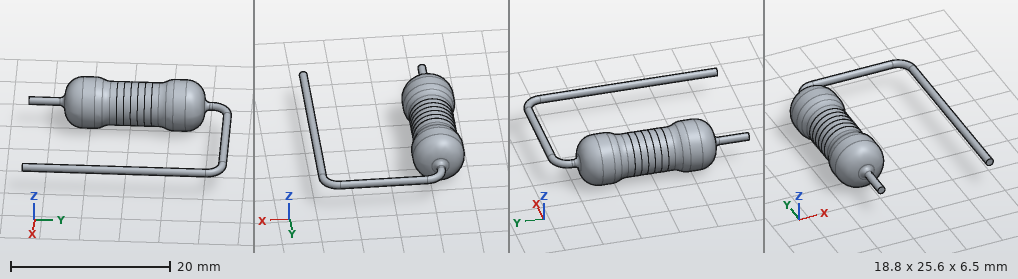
import cadquery as cq
import math

wire_radius = 1.0 / 2
lead_pitch = 15.0
overall_length = 25.6
bend_radius = 2.0
wire_top = overall_length - wire_radius

body_centre = 13.35
cap_radius = 6.5 / 2
waist_radius = 5.53 / 2
band_radius = 5.55 / 2
dome_radius = 2.3
dome_start = 6.5
cap_start = 4.95
waist_half_length = 3.07
neck_fillet = 0.65

band_count = 3
section_count = 2 * band_count + 1
section_width = 2 * waist_half_length / section_count


def half_body():
    """One end of the body, from its middle to the neck on the wire, along +Y."""
    rise = (cap_radius - waist_radius) / 2
    run = (cap_start - waist_half_length) / 2
    shoulder_radius = (rise**2 + run**2) / (2 * rise)
    shoulder_middle = (waist_radius + rise, waist_half_length + run)

    dome_centre_x = cap_radius - dome_radius
    fillet_centre_x = wire_radius + neck_fillet
    centre_offset = fillet_centre_x - dome_centre_x
    centre_distance = dome_radius + neck_fillet
    neck_end = dome_start + math.sqrt(centre_distance**2 - centre_offset**2)
    dome_share = dome_radius / centre_distance
    dome_end = (
        dome_centre_x + centre_offset * dome_share,
        dome_start + (neck_end - dome_start) * dome_share,
    )

    profile = (
        cq.Workplane("XY")
        .lineTo(waist_radius, 0)
        .lineTo(waist_radius, waist_half_length)
        .radiusArc(shoulder_middle, shoulder_radius)
        .radiusArc((cap_radius, cap_start), -shoulder_radius)
        .lineTo(cap_radius, dome_start)
        .radiusArc(dome_end, -dome_radius)
        .radiusArc((wire_radius, neck_end), neck_fillet)
        .lineTo(0, neck_end)
        .close()
    )
    return profile.revolve(360, (0, 0, 0), (0, 1, 0))


def colour_band(middle):
    """A raised ring around the waist, centred at the given distance from the body middle."""
    return (
        cq.Workplane("XZ", origin=(0, middle + section_width / 2, 0))
        .circle(band_radius)
        .extrude(section_width)
    )


def lead_wire():
    """Wire through the body, bent twice to return parallel to the body axis."""
    bend_start = wire_top - bend_radius
    diagonal = bend_radius * math.sqrt(0.5)
    right_bend_x = lead_pitch - bend_radius
    path = (
        cq.Workplane("XY")
        .lineTo(0, bend_start)
        .threePointArc((bend_radius - diagonal, bend_start + diagonal), (bend_radius, wire_top))
        .lineTo(right_bend_x, wire_top)
        .threePointArc((right_bend_x + diagonal, bend_start + diagonal), (lead_pitch, bend_start))
        .lineTo(lead_pitch, 0)
    )
    return cq.Workplane("XZ").circle(wire_radius).sweep(path)


upper_half = half_body()
body = upper_half.union(upper_half.mirror("XZ"))
for index in range(band_count):
    body = body.union(colour_band((index - (band_count - 1) / 2) * 2 * section_width))

result = lead_wire().union(body.translate((0, body_centre, 0)))